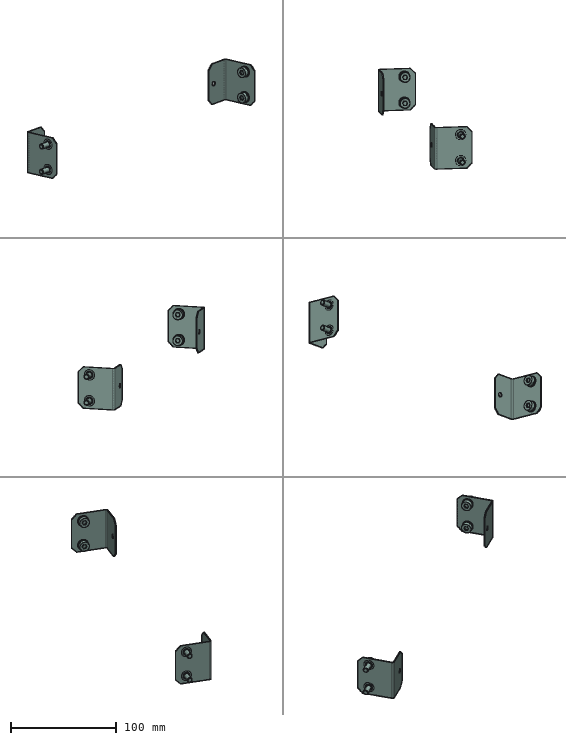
import cadquery as cq
import math

overall_length = 321.0

sheet = 1.1
bend_outer_radius = 2.0
bracket_width = 36.0
bracket_depth = 26.0
bracket_height = 40.0
corner_cut = 5.0
screw_hole_diameter = 5.5
free_hole_diameter = 4.2
free_hole_edge_distance = 7.5

screw_diameter = 5.0
screw_length = 12.0
head_diameter = 9.5
head_height = 4.0
socket_across_flats = 4.0
socket_depth = 1.5
tip_chamfer = 0.6
screw_x = 25.0
screw_spacing = 25.0

washer_diameter = 10.5
washer_bore = 7.0
washer_thickness = 1.6
washer_edge_chamfer = 0.25

screw_tip_y = -overall_length / 2
head_seat_y = screw_tip_y + screw_length
washer_seat_y = head_seat_y - washer_thickness
outer_face_y = washer_seat_y - sheet
free_edge_y = outer_face_y + bracket_depth
screw_heights = [-screw_spacing / 2, screw_spacing / 2]


def plane_facing_inwards(x, y, z):
    """Plane normal to Y whose extrusions grow towards +Y."""
    return cq.Workplane(cq.Plane(origin=(x, y, z), xDir=(1, 0, 0), normal=(0, 1, 0)))


def make_bracket():
    half_height = bracket_height / 2
    bracket = (
        cq.Workplane("XY", origin=(0, 0, -half_height))
        .moveTo(0, free_edge_y)
        .lineTo(0, outer_face_y)
        .lineTo(bracket_width, outer_face_y)
        .lineTo(bracket_width, washer_seat_y)
        .lineTo(sheet, washer_seat_y)
        .lineTo(sheet, free_edge_y)
        .close()
        .extrude(bracket_height)
    )

    outer_corner = cq.selectors.NearestToPointSelector((0, outer_face_y, 0))
    bracket = bracket.edges(outer_corner).fillet(bend_outer_radius)
    inner_corner = cq.selectors.NearestToPointSelector((sheet, washer_seat_y, 0))
    bracket = bracket.edges(inner_corner).fillet(bend_outer_radius - sheet)

    bracket = bracket.faces(">X").edges("|Y").chamfer(corner_cut)
    bracket = bracket.faces(">Y").edges("|X").chamfer(corner_cut)

    free_hole = (
        cq.Workplane("YZ", origin=(0, free_edge_y - free_hole_edge_distance, 0))
        .circle(free_hole_diameter / 2)
        .extrude(sheet)
    )
    bracket = bracket.cut(free_hole)

    for z in screw_heights:
        screw_hole = plane_facing_inwards(screw_x, outer_face_y, z)
        screw_hole = screw_hole.circle(screw_hole_diameter / 2).extrude(sheet)
        bracket = bracket.cut(screw_hole)
    return bracket


def make_washer(z):
    washer = (
        plane_facing_inwards(screw_x, washer_seat_y, z)
        .circle(washer_diameter / 2)
        .extrude(washer_thickness)
        .faces("<Y or >Y")
        .chamfer(washer_edge_chamfer)
    )
    bore = plane_facing_inwards(screw_x, washer_seat_y, z)
    bore = bore.circle(washer_bore / 2).extrude(washer_thickness)
    return washer.cut(bore)


def make_screw(z):
    shank = plane_facing_inwards(screw_x, screw_tip_y, z)
    shank = shank.circle(screw_diameter / 2).extrude(screw_length)
    shank = shank.faces("<Y").chamfer(tip_chamfer)
    head = plane_facing_inwards(screw_x, head_seat_y, z)
    head = head.circle(head_diameter / 2).extrude(head_height)
    socket_across_corners = socket_across_flats / math.cos(math.pi / 6)
    socket = (
        plane_facing_inwards(screw_x, head_seat_y + head_height - socket_depth, z)
        .polygon(6, socket_across_corners)
        .extrude(socket_depth)
    )
    return shank.union(head).cut(socket)


near_bodies = [make_bracket()]
for z in screw_heights:
    near_bodies.append(make_washer(z))
    near_bodies.append(make_screw(z))

solids = []
for body in near_bodies:
    solids.append(body.val())
    solids.append(body.mirror("XZ").val())

result = cq.Compound.makeCompound(solids)